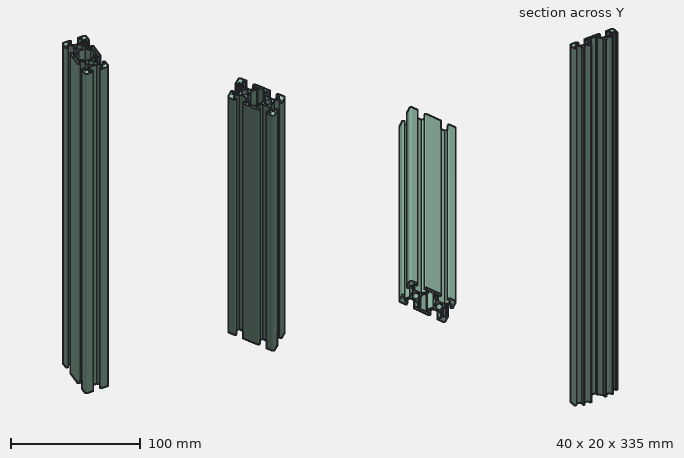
import cadquery as cq

length = 335.0
width = 40.0
depth = 20.0
cell_offset = depth / 2
end_slot_offset = (width - depth) / 2
corner_radius = 1.5

slot_opening = 6.0
slot_width = 11.5
lip_thickness = 1.9
lip_radius = 0.85

core_half = 3.85
web_thickness = 1.5
bore_diameter = 5.0

web_shift = web_thickness / 2**0.5


def extrude_polygon(points):
    return cq.Workplane("XY").polyline(points).close().extrude(length)


def t_slot():
    """Slot of a square cell centred on the origin, opening toward +Y."""
    face = depth / 2
    half_width = slot_width / 2
    half_opening = slot_opening / 2
    half_floor = core_half - web_shift
    shoulder = half_width + web_shift
    chamber = extrude_polygon([
        (-half_floor, core_half),
        (half_floor, core_half),
        (half_width, shoulder),
        (half_width, face - lip_thickness),
        (-half_width, face - lip_thickness),
        (-half_width, shoulder),
    ])

    half_mouth = half_opening + lip_radius
    flare = lip_radius * (1 - 0.5**0.5)
    mouth = (
        cq.Workplane("XY")
        .moveTo(-half_opening, core_half + web_shift)
        .lineTo(half_opening, core_half + web_shift)
        .lineTo(half_opening, face - lip_radius)
        .threePointArc((half_opening + flare, face - flare), (half_mouth, face))
        .lineTo(-half_mouth, face)
        .threePointArc((-half_opening - flare, face - flare), (-half_opening, face - lip_radius))
        .close()
        .extrude(length)
    )
    return chamber.union(mouth)


def central_cavity():
    """Cavity between the cells, bounded by their cores, webs and slot walls."""
    half_length = cell_offset - core_half
    half_width = cell_offset - slot_width / 2 - web_thickness
    quarter = [
        (half_length, core_half - web_shift),
        (half_width, cell_offset - half_width - web_shift),
        (half_width, depth / 2 - lip_thickness),
    ]
    upper = quarter + [(-x, y) for x, y in reversed(quarter)]
    lower = [(-x, -y) for x, y in upper]
    return extrude_polygon(upper + lower)


body = cq.Workplane("XY").rect(width, depth).extrude(length).edges("|Z").fillet(corner_radius)

slot = t_slot()
for side in (-1, 1):
    slots = [(0, cell_offset), (180, cell_offset), (-90 * side, end_slot_offset)]
    for angle, offset in slots:
        turned_slot = slot.rotate((0, 0, 0), (0, 0, 1), angle)
        body = body.cut(turned_slot.translate((side * offset, 0, 0)))
    bore = cq.Workplane("XY").center(side * cell_offset, 0).circle(bore_diameter / 2).extrude(length)
    body = body.cut(bore)

result = body.cut(central_cavity())